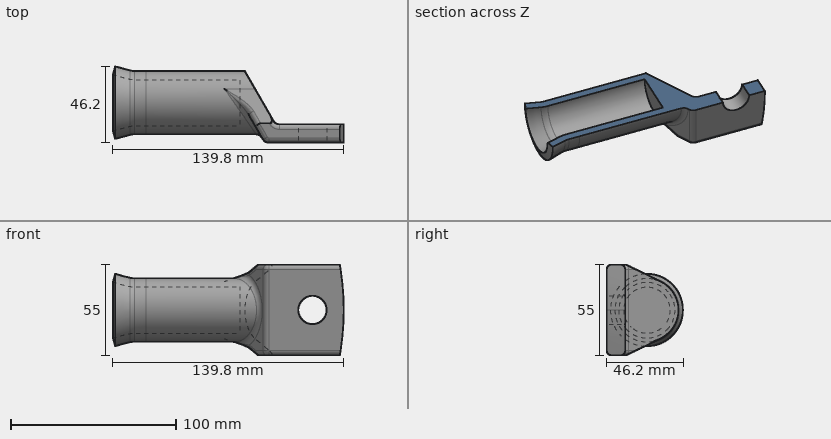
import cadquery as cq
import math

tube_radius = 19.25
bore_radius = 14.0
wall = tube_radius - bore_radius

flare_radius = 22.0
flare_angle = math.radians(15)
flare_blend_radius = 11.0
rim_x = wall * math.sin(flare_angle)

total_length = 139.78
palm_width = 55.0
palm_front_y = -24.2
palm_thickness = 11.2
palm_back_y = palm_front_y + palm_thickness
palm_end_sag = 2.4
half_width = palm_width / 2

neck_slope = math.radians(60)
back_bend_x = 98.4
front_bend_x = back_bend_x - palm_thickness * math.tan(neck_slope / 2)

flank_angle = math.radians(26)
landing_angle = math.radians(26.15)
landing_y = tube_radius * math.sin(landing_angle)
landing_z = tube_radius * math.cos(landing_angle)

hole_diameter = 17.0
hole_end_distance = 19.0

bend_radius = 4.0
root_fillet = 4.0
edge_fillet = 3.0

overrun = 20.0


def neck_front_x(y):
    """X of the neck's front face at height y."""
    return front_bend_x - (y - palm_front_y) / math.tan(neck_slope)


def neck_back_x(y):
    """X of the neck's back face at height y."""
    return back_bend_x - (y - palm_back_y) / math.tan(neck_slope)


def flank_z(y):
    """Z of the neck's +Z flank at height y."""
    return (tube_radius - y * math.sin(flank_angle)) / math.cos(flank_angle)


shoulder_y = (tube_radius - half_width * math.cos(flank_angle)) / math.sin(flank_angle)


def bent_slab():
    """Palm and neck as one bent slab, wider and taller than the finished part."""
    top_y = tube_radius + overrun
    slab = (
        cq.Workplane("XY")
        .moveTo(neck_front_x(top_y), top_y)
        .lineTo(front_bend_x, palm_front_y)
        .lineTo(total_length, palm_front_y)
        .lineTo(total_length, palm_back_y)
        .lineTo(back_bend_x, palm_back_y)
        .lineTo(neck_back_x(top_y), top_y)
        .close()
        .extrude(half_width + overrun, both=True)
    )
    front_bend = cq.NearestToPointSelector((front_bend_x, palm_front_y, 0))
    back_bend = cq.NearestToPointSelector((back_bend_x, palm_back_y, 0))
    return slab.edges("|Z").edges(front_bend + back_bend).fillet(bend_radius)


def tube_bar(end_inset):
    """Solid round bar whose sloped end lies end_inset along X short of the neck's back face."""
    reach = tube_radius + overrun
    bar_zone = (
        cq.Workplane("XY")
        .moveTo(0, -reach)
        .lineTo(neck_back_x(-reach) - end_inset, -reach)
        .lineTo(neck_back_x(reach) - end_inset, reach)
        .lineTo(0, reach)
        .close()
        .extrude(reach, both=True)
    )
    return cq.Workplane("YZ").circle(tube_radius).extrude(total_length).intersect(bar_zone)


def cross_section():
    """Prism along X: round over the tube, then the flanks, then the sides of the palm."""
    return (
        cq.Workplane("YZ")
        .moveTo(palm_front_y, half_width)
        .lineTo(shoulder_y, half_width)
        .lineTo(landing_y, landing_z)
        .threePointArc((tube_radius, 0), (landing_y, -landing_z))
        .lineTo(shoulder_y, -half_width)
        .lineTo(palm_front_y, -half_width)
        .close()
        .extrude(total_length)
    )


def lug_body():
    """Tube bar, neck and palm with the concave fillet at the root and rounded side edges."""
    mid_neck_inset = palm_thickness / math.sin(neck_slope) / 2
    body = bent_slab().union(tube_bar(mid_neck_inset))
    body = body.edges("%ELLIPSE").fillet(root_fillet)
    body = body.intersect(cross_section())

    palm_middle_x = (front_bend_x + total_length) / 2
    flank_y = shoulder_y / 2
    palm_front_edge = cq.NearestToPointSelector((palm_middle_x, palm_front_y, half_width))
    palm_back_edge = cq.NearestToPointSelector((palm_middle_x, palm_back_y, half_width))
    flank_edge = cq.NearestToPointSelector((neck_front_x(flank_y), flank_y, flank_z(flank_y)))
    rounded = body.edges(palm_front_edge + palm_back_edge + flank_edge).fillet(edge_fillet)

    rounded = rounded.intersect(rounded.mirror("XY"))

    below_landing = (
        cq.Workplane("XZ", origin=(0, landing_y, 0))
        .rect(2 * total_length + overrun, palm_width + overrun)
        .extrude(landing_y - palm_front_y + overrun)
    )
    return rounded.intersect(below_landing).union(tube_bar(0))


def flare_core(mouth_x, mouth_radius, straight_radius, blend_radius, end_x):
    """Solid of revolution: a cone that blends through an arc into a cylinder ending at end_x."""
    corner_x = mouth_x + (mouth_radius - straight_radius) / math.tan(flare_angle)
    half_angle = flare_angle / 2
    blend_end_x = corner_x + blend_radius * math.tan(half_angle)
    blend_center_r = straight_radius + blend_radius
    blend_start = (
        blend_end_x - blend_radius * math.sin(flare_angle),
        blend_center_r - blend_radius * math.cos(flare_angle),
    )
    blend_middle = (
        blend_end_x - blend_radius * math.sin(half_angle),
        blend_center_r - blend_radius * math.cos(half_angle),
    )
    return (
        cq.Workplane("XY")
        .moveTo(mouth_x, 0)
        .lineTo(mouth_x, mouth_radius)
        .lineTo(*blend_start)
        .threePointArc(blend_middle, (blend_end_x, straight_radius))
        .lineTo(end_x, straight_radius)
        .lineTo(end_x, 0)
        .close()
        .revolve(360, (0, 0, 0), (1, 0, 0))
    )


def flare_and_bore(body):
    """Add the flared mouth and cut the blind bore."""
    mouth_radius = flare_radius - wall * math.cos(flare_angle)
    flare_end_x = overrun
    bore_end_x = neck_back_x(bore_radius) - wall / math.sin(neck_slope)

    rim = cq.Solid.makeCone(mouth_radius, flare_radius, rim_x, cq.Vector(0, 0, 0), cq.Vector(1, 0, 0))
    outer = flare_core(rim_x, flare_radius, tube_radius, flare_blend_radius, flare_end_x)
    bore = flare_core(0, mouth_radius, bore_radius, flare_blend_radius + wall, bore_end_x)
    tube_start = cq.Workplane("YZ").circle(flare_radius).extrude(flare_end_x)
    return body.cut(tube_start).union(outer.union(rim)).cut(bore)


def palm_end(body):
    """Trim the free end of the palm to a shallow arc across its width."""
    corner_x = total_length - palm_end_sag
    keep = (
        cq.Workplane("XZ")
        .moveTo(0, -half_width)
        .lineTo(corner_x, -half_width)
        .threePointArc((total_length, 0), (corner_x, half_width))
        .lineTo(0, half_width)
        .close()
        .extrude(tube_radius + overrun, both=True)
    )
    return body.intersect(keep)


def bolt_hole(body):
    """Drill the bolt hole through the palm."""
    drill = (
        cq.Workplane("XZ")
        .center(total_length - hole_end_distance, 0)
        .circle(hole_diameter / 2)
        .extrude(tube_radius + overrun, both=True)
    )
    return body.cut(drill)


result = bolt_hole(palm_end(flare_and_bore(lug_body())))